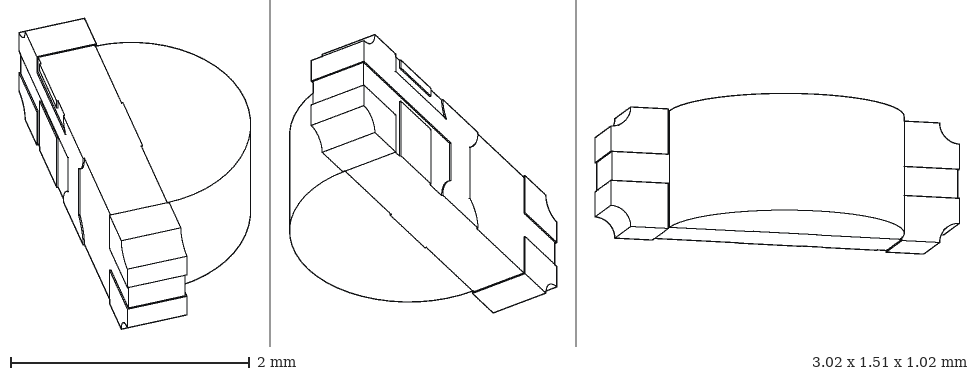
import cadquery as cq

total_length = 3.02
plating = 0.012
board_depth = 0.498
board_height = 0.997
lens_radius = 1.0

terminal_inner_x = 1.012
terminal_gap = 0.248
notch_radius = 0.172

strip_width = 0.295
strip_pad_radius = 0.275
trace_top_z = 0.33

mark_left_x = -0.933
mark_right_x = -0.46
lower_mark_top_z = 0.07
upper_mark_bottom_z = 0.417

board_length = total_length - 2 * plating
total_height = board_height + 2 * plating
half_length = total_length / 2
half_height = total_height / 2
board_top_z = board_height / 2
terminal_inner_z = terminal_gap / 2


def block(x_range, y_range, z_range):
    """Box spanning the given (low, high) range along each axis."""
    size = [high - low for low, high in (x_range, y_range, z_range)]
    corner = (x_range[0], y_range[0], z_range[0])
    return cq.Workplane("XY").box(*size, centered=False).translate(corner)


def front_plate(x_range, z_range):
    """Rectangle of plating raised from the front face."""
    return block(x_range, (-plating, 0), z_range)


def conductor_strip(front_y):
    """Straight vertical strip with round end pads cut off flush with the board edges."""
    rear_y = front_y + plating
    y_range = (front_y, rear_y)
    z_range = (-board_top_z, board_top_z)
    bounds = block((-strip_pad_radius, strip_pad_radius), y_range, z_range)
    pads = (
        cq.Workplane("XZ", origin=(0, rear_y, 0))
        .pushPoints([(0, -board_top_z), (0, board_top_z)])
        .circle(strip_pad_radius)
        .extrude(plating)
    )
    bar = block((-strip_width / 2, strip_width / 2), y_range, z_range)
    return pads.intersect(bounds).union(bar)


def terminals():
    """Four plated corner blocks wrapping around the board ends."""
    lower_left = block(
        (-half_length, -terminal_inner_x),
        (-plating, board_depth + plating),
        (-half_height, -terminal_inner_z),
    )
    left = lower_left.union(lower_left.mirror("XY"))
    return left.union(left.mirror("YZ"))


def corner_notches():
    """Cylinders along Y centred on the four outer corners."""
    return (
        cq.Workplane("XZ", origin=(0, board_depth + plating, 0))
        .rect(total_length, total_height, forConstruction=True)
        .vertices()
        .circle(notch_radius)
        .extrude(board_depth + 2 * plating)
    )


def make_base():
    """Circuit board with its terminals, conductor strips, trace and marks."""
    board = cq.Workplane("XY").box(board_length, board_depth, board_height)
    board = board.translate((0, board_depth / 2, 0))
    trace = front_plate((-terminal_inner_x, 0), (terminal_inner_z, trace_top_z))
    lower_mark = front_plate((mark_left_x, mark_right_x), (-board_top_z, lower_mark_top_z))
    upper_mark = front_plate((mark_left_x, mark_right_x), (upper_mark_bottom_z, board_top_z))
    return (
        board.union(terminals())
        .union(conductor_strip(-plating))
        .union(conductor_strip(board_depth))
        .union(trace)
        .union(lower_mark)
        .union(upper_mark)
        .cut(corner_notches())
    )


def make_lens():
    """Half-cylinder lens on the rear face, recessed for the rear conductor strip."""
    half_disc = (
        cq.Workplane("XY", origin=(0, board_depth, -board_top_z))
        .moveTo(-lens_radius, 0)
        .threePointArc((0, lens_radius), (lens_radius, 0))
        .close()
        .extrude(board_height)
    )
    return half_disc.cut(conductor_strip(board_depth))


base = make_base()
lens = make_lens()

result = cq.Compound.makeCompound([base.val(), lens.val()])